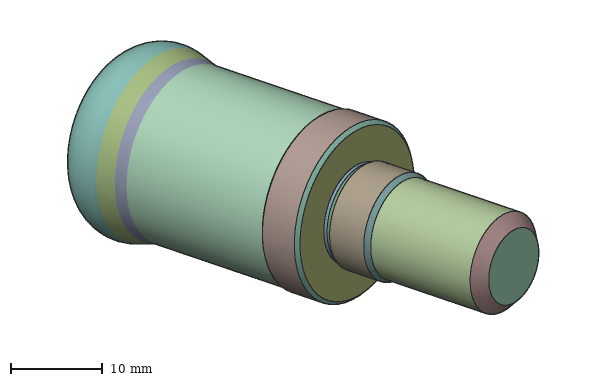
import cadquery as cq
import math


head_radius = 11.35
bead_radius = 5.0
dish_depth = 1.8
dish_floor_radius = 3.2
taper_angle = math.radians(17)
body_radius = 20.6 / 2
neck_end = 10.05
neck_blend_radius = 5.0
bumper_length = 28.9

flange_radius = 21.0 / 2
flange_end = 34.0
flange_chamfer = 0.45
collar_radius = 12.5 / 2
collar_start = 34.45
collar_end = 40.55
collar_chamfer_length = 0.65
shank_radius = 11.7 / 2
shank_end = 55.85
shank_chamfer = 1.45


def revolve_about_x(profile):
    """Turn a closed XY profile a full turn about the X axis."""
    return profile.close().revolve(360, (0, 0, 0), (1, 0, 0))


def make_bumper():
    """Bumper with its round rim, dished tip, taper and blended neck."""
    bead_x = bead_radius
    bead_y = head_radius - bead_radius

    dish_width = bead_y - dish_floor_radius
    dish_wall_radius = (dish_depth**2 + dish_width**2) / (2 * dish_depth)
    dish_wall_angle = math.asin(dish_width / dish_wall_radius)
    dish_wall_middle = (
        dish_wall_radius * (1 - math.cos(dish_wall_angle / 2)),
        bead_y - dish_wall_radius * math.sin(dish_wall_angle / 2),
    )

    taper_start = (
        bead_x + bead_radius * math.sin(taper_angle),
        bead_y + bead_radius * math.cos(taper_angle),
    )
    rim_middle = (
        bead_x - bead_radius * math.cos(math.pi / 4),
        bead_y + bead_radius * math.sin(math.pi / 4),
    )

    def neck_point(angle):
        return (
            neck_end - neck_blend_radius * math.sin(angle),
            body_radius + neck_blend_radius * (1 - math.cos(angle)),
        )

    profile = (
        cq.Workplane("XY")
        .moveTo(dish_depth, 0)
        .lineTo(dish_depth, dish_floor_radius)
        .threePointArc(dish_wall_middle, (0, bead_y))
        .threePointArc(rim_middle, taper_start)
        .lineTo(*neck_point(taper_angle))
        .threePointArc(neck_point(taper_angle / 2), (neck_end, body_radius))
        .lineTo(bumper_length, body_radius)
        .lineTo(bumper_length, 0)
    )
    return revolve_about_x(profile)


def make_stud():
    """Stud whose flange sits flat against the back of the bumper."""
    flange_lead = flange_radius - body_radius
    profile = (
        cq.Workplane("XY")
        .moveTo(bumper_length, 0)
        .lineTo(bumper_length, body_radius)
        .lineTo(bumper_length + flange_lead, flange_radius)
        .lineTo(flange_end - flange_chamfer, flange_radius)
        .lineTo(flange_end, flange_radius - flange_chamfer)
        .lineTo(flange_end, shank_radius)
        .lineTo(collar_start, shank_radius)
        .lineTo(collar_start + collar_chamfer_length, collar_radius)
        .lineTo(collar_end - collar_chamfer_length, collar_radius)
        .lineTo(collar_end, shank_radius)
        .lineTo(shank_end - shank_chamfer, shank_radius)
        .lineTo(shank_end, shank_radius - shank_chamfer)
        .lineTo(shank_end, 0)
    )
    return revolve_about_x(profile)


bumper = make_bumper()
stud = make_stud()

result = cq.Compound.makeCompound([bumper.val(), stud.val()])